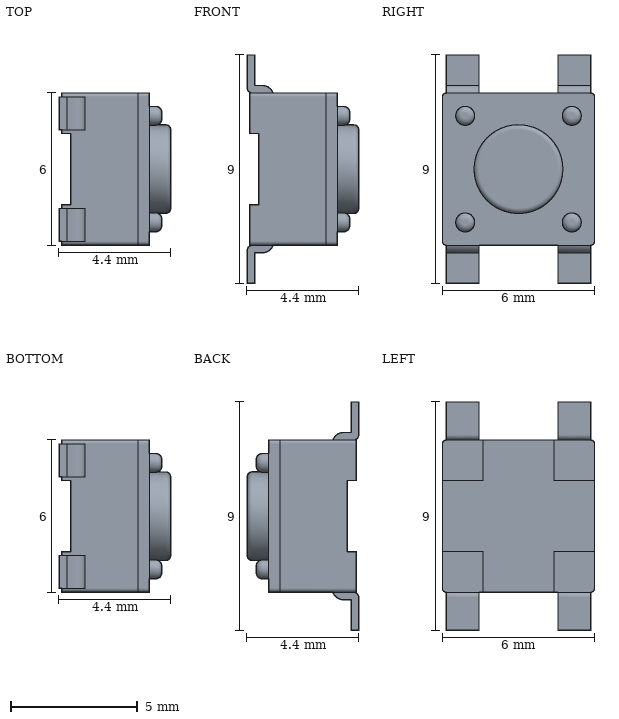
import cadquery as cq

body_side = 6.0
corner_radius = 0.15
foot_start = 0.1
floor_start = 0.45
foot_side = 1.6

cover_start = 3.1
cover_thickness = 0.45
button_diameter = 3.5
button_end = 4.4
button_round = 0.2
rivet_diameter = 0.75
rivet_length = 0.5
rivet_round = 0.25
rivet_offset = 2.1

lead_span = 9.0
lead_width = 1.3
lead_thickness = 0.3
heel_radius = 0.2
shoulder_flat = 0.3
shoulder_radius = 0.45

half_side = body_side / 2
cover_end = cover_start + cover_thickness
foot_offset = half_side - foot_side / 2
lead_offset = half_side - corner_radius - lead_width / 2
corner_signs = [(y, z) for y in (-1, 1) for z in (-1, 1)]


def corner_points(offset):
    """Four points placed symmetrically about the X axis."""
    return [(y * offset, z * offset) for y, z in corner_signs]


def square_block(start, end):
    """Square block along X with its four long edges rounded."""
    block = cq.Workplane("YZ", origin=(start, 0, 0)).rect(body_side, body_side).extrude(end - start)
    return block.edges("|X").fillet(corner_radius)


def round_boss(diameter, length, edge_round):
    """Cylinder rising from the cover face, with a rounded outer rim."""
    boss = cq.Workplane("YZ", origin=(cover_end, 0, 0)).circle(diameter / 2).extrude(length)
    return boss.faces(">X").edges().fillet(edge_round)


def make_housing():
    """Block whose back face is relieved to leave a square foot at each corner."""
    block = square_block(foot_start, cover_start)
    relief = cq.Workplane("YZ", origin=(foot_start, 0, 0)).rect(body_side, body_side)
    relief = relief.extrude(floor_start - foot_start)
    feet = cq.Workplane("YZ", origin=(foot_start, 0, 0)).pushPoints(corner_points(foot_offset))
    feet = feet.rect(foot_side, foot_side).extrude(floor_start - foot_start)
    return block.cut(relief.cut(feet))


def make_cover():
    """Front plate carrying the round button and the rivet heads."""
    cover = square_block(cover_start, cover_end)
    cover = cover.union(round_boss(button_diameter, button_end - cover_end, button_round))
    rivet = round_boss(rivet_diameter, rivet_length, rivet_round)
    for y, z in corner_points(rivet_offset):
        cover = cover.union(rivet.translate((0, y, z)))
    return cover


def make_lead(y_sign, z_sign):
    """Bent strip lying on the housing side, its tip standing away from it along Z."""
    shoulder_z = half_side + lead_thickness
    shoulder_start = lead_thickness + shoulder_flat
    shoulder_drop = shoulder_radius - lead_thickness
    shoulder_reach = (shoulder_radius**2 - shoulder_drop**2) ** 0.5
    strip = (
        cq.Workplane("XZ")
        .moveTo(heel_radius, half_side)
        .lineTo(shoulder_start + shoulder_reach, half_side)
        .radiusArc((shoulder_start, shoulder_z), -shoulder_radius)
        .lineTo(lead_thickness, shoulder_z)
        .lineTo(lead_thickness, lead_span / 2)
        .lineTo(0, lead_span / 2)
        .lineTo(0, half_side + heel_radius)
        .radiusArc((heel_radius, half_side), -heel_radius)
        .close()
        .extrude(lead_width / 2, both=True)
    )
    if z_sign < 0:
        strip = strip.mirror("XY")
    return strip.translate((0, y_sign * lead_offset, 0))


housing = make_housing()
cover = make_cover()
leads = [make_lead(y_sign, z_sign) for y_sign, z_sign in corner_signs]

result = cq.Compound.makeCompound([housing.val(), cover.val(), *[lead.val() for lead in leads]])